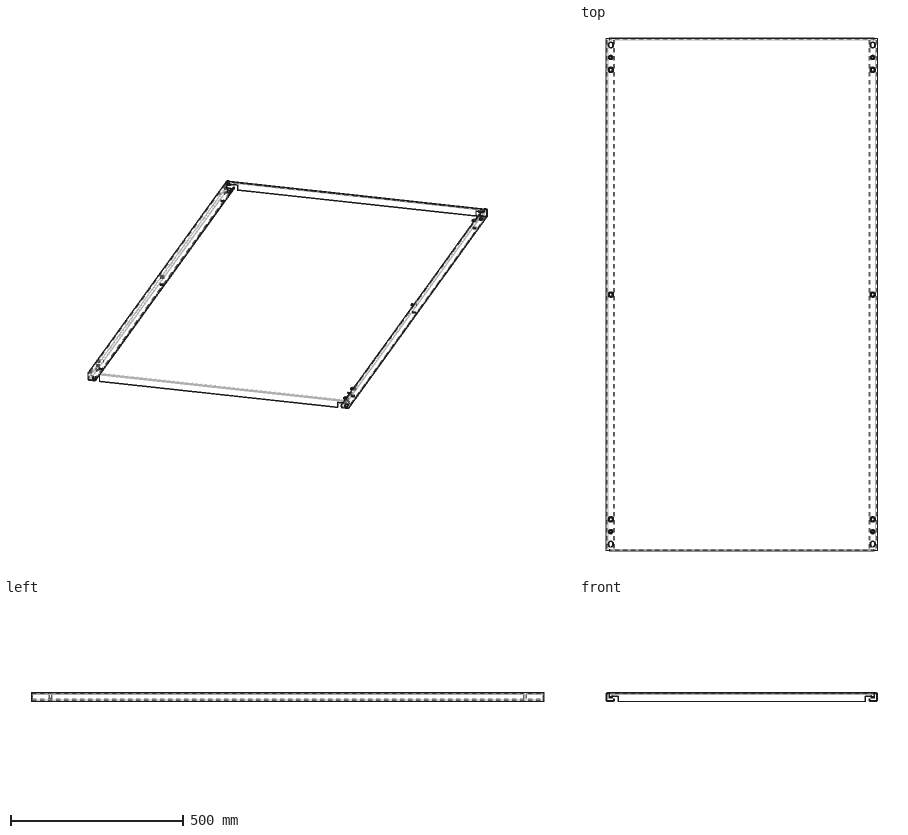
import cadquery as cq

PLATE_WIDTH = 788.0
PLATE_LENGTH = 1488.0
TOTAL_HEIGHT = 26.6

SHEET = 3.0
INNER_BEND = 2.5
OUTER_BEND = INNER_BEND + SHEET

CHANNEL_WIDTH = 25.0
LIP_HEIGHT = 8.0
CHANNEL_END_GAP = 1.0

END_INNER_BEND = 2.0
END_OUTER_BEND = END_INNER_BEND + SHEET
STRIP_WIDTH = 768.0
STRIP_BOTTOM = 15.5
APRON_WIDTH = 718.0

HOLE_X = 380.0
NUT_Y = 688.0
HOLE_PITCH = 36.0
ACCESS_DIAMETER = 16.0
FIXING_DIAMETER = 9.0
SLOT_LENGTH = 18.0

NUT_FLANGE_DIAMETER = 13.0
NUT_FLANGE_THICKNESS = 0.6
NUT_SHANK_DIAMETER = 9.0
NUT_SHANK_LENGTH = 15.0
NUT_BORE_DIAMETER = 6.0

PLATE_HEIGHT = TOTAL_HEIGHT - NUT_FLANGE_THICKNESS
HALF_LENGTH = PLATE_LENGTH / 2
CHANNEL_LENGTH = PLATE_LENGTH - 2 * CHANNEL_END_GAP
SIGNS = (-1, 1)


def side_points(*distances):
    """Hole centres on both sides of the plate, at the given Y positions."""
    return [(side * HOLE_X, y) for side in SIGNS for y in distances]


def rounded_bar(width, height, radius):
    """Bar along Y, centred on the origin, with rounded long edges."""
    bar = cq.Workplane("XY").box(width, CHANNEL_LENGTH, height)
    return bar.edges("|Y").fillet(radius)


def lip(lip_x):
    """Bend and upturned lip at the inner edge of the right-hand bottom flange."""
    bend_x = lip_x + OUTER_BEND
    outline = (
        cq.Workplane("XZ", origin=(0, CHANNEL_LENGTH / 2, 0))
        .moveTo(bend_x, 0)
        .radiusArc((lip_x, OUTER_BEND), OUTER_BEND)
        .lineTo(lip_x, LIP_HEIGHT)
        .lineTo(lip_x + SHEET, LIP_HEIGHT)
        .lineTo(lip_x + SHEET, OUTER_BEND)
        .radiusArc((bend_x, SHEET), -INNER_BEND)
        .close()
    )
    return outline.extrude(CHANNEL_LENGTH)


def folded_top():
    """Flat top sheet with a C-shaped channel folded under each side."""
    lip_x = PLATE_WIDTH / 2 - CHANNEL_WIDTH
    outside = rounded_bar(PLATE_WIDTH, PLATE_HEIGHT, OUTER_BEND)
    inside = rounded_bar(PLATE_WIDTH - 2 * SHEET, PLATE_HEIGHT - 2 * SHEET, INNER_BEND)
    tube = outside.cut(inside).translate((0, 0, PLATE_HEIGHT / 2))
    opening = cq.Workplane("XY").box(
        2 * (lip_x + OUTER_BEND), PLATE_LENGTH, PLATE_HEIGHT - SHEET, centered=(True, True, False)
    )
    right_lip = lip(lip_x)
    return tube.cut(opening).union(right_lip).union(right_lip.mirror("YZ"))


def end_flange():
    """Flange folded down at the +Y end, stepped in to the apron width below the strip."""
    bend_y = HALF_LENGTH - END_OUTER_BEND
    bend_z = PLATE_HEIGHT - END_OUTER_BEND
    profile = (
        cq.Workplane("YZ", origin=(-STRIP_WIDTH / 2, 0, 0))
        .moveTo(bend_y, PLATE_HEIGHT)
        .radiusArc((HALF_LENGTH, bend_z), END_OUTER_BEND)
        .lineTo(HALF_LENGTH, 0)
        .lineTo(HALF_LENGTH - SHEET, 0)
        .lineTo(HALF_LENGTH - SHEET, bend_z)
        .radiusArc((bend_y, PLATE_HEIGHT - SHEET), -END_INNER_BEND)
        .close()
    )
    flange = profile.extrude(STRIP_WIDTH)
    step = (STRIP_WIDTH - APRON_WIDTH) / 2
    notch_x = (STRIP_WIDTH + APRON_WIDTH) / 4
    notch_y = HALF_LENGTH - END_OUTER_BEND / 2
    notch = cq.Workplane("XY").box(step, END_OUTER_BEND, STRIP_BOTTOM, centered=(True, True, False))
    for side in SIGNS:
        flange = flange.cut(notch.translate((side * notch_x, notch_y, 0)))
    return flange


def bend_clearance():
    """Square end of the top sheet that gives way to the bend at the +Y end."""
    block = cq.Workplane("XY").box(STRIP_WIDTH, END_OUTER_BEND, 2 * END_OUTER_BEND)
    return block.translate((0, HALF_LENGTH - END_OUTER_BEND / 2, PLATE_HEIGHT))


def cut_holes(body):
    """Access holes and nut holes in the top, fixing holes and slots in the bottom flanges."""
    inner_y = NUT_Y - HOLE_PITCH
    corner_y = NUT_Y + HOLE_PITCH
    fixings = side_points(-inner_y, 0, inner_y)
    corners = side_points(-corner_y, corner_y)
    top = cq.Workplane("XY").workplane(offset=PLATE_HEIGHT)
    bottom = cq.Workplane("XY")
    body = body.cut(top.pushPoints(fixings + corners).circle(ACCESS_DIAMETER / 2).extrude(-OUTER_BEND))
    body = body.cut(top.pushPoints(side_points(-NUT_Y, NUT_Y)).circle(NUT_SHANK_DIAMETER / 2).extrude(-SHEET))
    body = body.cut(bottom.pushPoints(fixings).circle(FIXING_DIAMETER / 2).extrude(SHEET))
    return body.cut(bottom.pushPoints(corners).slot2D(SLOT_LENGTH, FIXING_DIAMETER, 90).extrude(SHEET))


def mounting_plate():
    body = folded_top()
    clearance = bend_clearance()
    flange = end_flange()
    body = body.cut(clearance).cut(clearance.mirror("XZ"))
    body = body.union(flange).union(flange.mirror("XZ"))
    return cut_holes(body)


def rivet_nut():
    """Nut with its flange seated on the plate's top face and its shank hanging below."""
    flange = cq.Workplane("XY").circle(NUT_FLANGE_DIAMETER / 2).extrude(NUT_FLANGE_THICKNESS)
    shank = cq.Workplane("XY").circle(NUT_SHANK_DIAMETER / 2).extrude(-NUT_SHANK_LENGTH)
    nut = flange.union(shank)
    return nut.faces(">Z").workplane().hole(NUT_BORE_DIAMETER)


plate = mounting_plate()
nuts = []
for nut_x, nut_y in side_points(-NUT_Y, NUT_Y):
    nuts.append(rivet_nut().translate((nut_x, nut_y, PLATE_HEIGHT)).val())

result = cq.Compound.makeCompound([plate.solids().val(), *nuts])